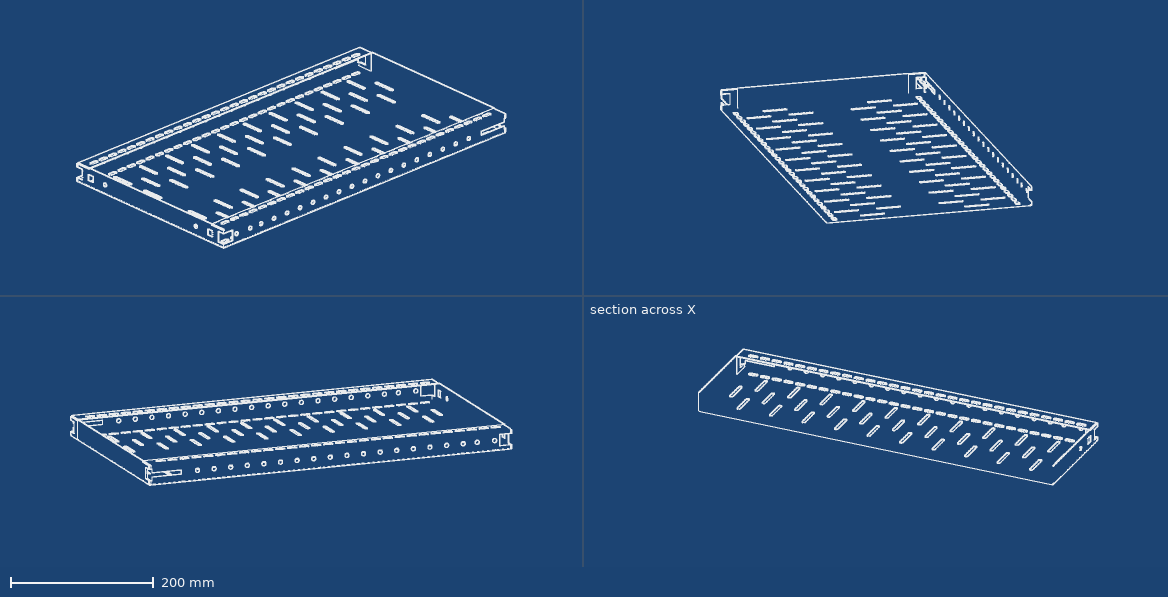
import cadquery as cq

width = 299.0
length = 546.5
height = 30.0
sheet = 1.5
bend_radius = 2.0
inner_bend_radius = bend_radius - sheet

flange_width = 25.0
flange_edge_x = width / 2 - flange_width
flange_gap = 0.3

row_count = 21
row_span = 500.5
row_pitch = row_span / (row_count - 1)
slot_length = 35.0
slot_width = 5.0
slot_x = 76.0
slot_stagger = 30.5

edge_slot_count = 29
edge_slot_pitch = 18.0
edge_slot_length = 13.5
edge_slot_width = 6.0
edge_slot_x = 133.5
edge_slot_shift = -3.0

hole_diameter = 6.0
side_hole_count = 17
extra_side_hole_ys = (-221.5, -247.5)
side_slot_length = 48.5
front_hole_x = 92.5
square_hole_x = 121.5
square_hole_size = 9.5

window_height = 16.5
front_window_x_depth = 11.0
back_window_x_depth = 14.0
front_window_y_depth = 18.0
back_window_y_depth = 4.5

mid_z = height / 2
front_y = -length / 2
back_y = length / 2
flange_bottom_z = height - sheet


def block(x_range, y_range, z_range):
    """Box between the given limits on each axis."""
    sizes = [high - low for low, high in (x_range, y_range, z_range)]
    corner = (x_range[0], y_range[0], z_range[0])
    return cq.Workplane("XY").box(*sizes, centered=False).translate(corner)


def on_both_sides(body):
    """The body together with its mirror image in the YZ plane."""
    return body.union(body.mirror("YZ"))


def make_tray():
    """Hollow folded box, opened at the top between the two flanges."""
    tray = cq.Workplane("XY").box(width, length, height, centered=(True, True, False))
    tray = tray.edges("|Y or (<Z and |X)").fillet(bend_radius)
    inside = cq.Workplane("XY").box(
        width - 2 * sheet, length - 2 * sheet, height - 2 * sheet, centered=(True, True, False)
    )
    inside = inside.translate((0, 0, sheet)).edges("|Y or (<Z and |X)").fillet(inner_bend_radius)
    opening = block(
        (-flange_edge_x, flange_edge_x), (front_y + sheet, back_y - sheet), (mid_z, height)
    )
    return tray.cut(inside).cut(opening)


def make_tab():
    """Tab lining the back wall, folded from the end of the left side wall."""
    return block(
        (-width / 2 + sheet / 2, -flange_edge_x),
        (back_y - 2 * sheet, back_y - sheet),
        (sheet / 2, flange_bottom_z - flange_gap),
    )


def make_tab_bend_cut():
    """Cut that rounds the left tab's fold and ends the back wall beside it."""
    outer_x = -width / 2
    fold_y = back_y - sheet
    return (
        cq.Workplane("XY")
        .moveTo(outer_x, back_y)
        .lineTo(outer_x, fold_y - bend_radius)
        .radiusArc((outer_x + bend_radius, fold_y), bend_radius)
        .lineTo(outer_x + bend_radius, back_y)
        .close()
        .extrude(height)
    )


def make_flange_relief():
    """Cut that lowers the end walls to just below the ends of the left flange."""
    x_range = (-width / 2, -flange_edge_x)
    z_range = (flange_bottom_z - flange_gap, height)
    front = block(x_range, (front_y, front_y + sheet), z_range)
    back = block(x_range, (back_y - sheet, back_y), z_range)
    return front.union(back)


def make_floor_slots():
    """Staggered slots: one per side in even rows, two per side in odd rows."""
    single_points = []
    double_points = []
    for row in range(row_count):
        y = row * row_pitch - row_span / 2
        for side in (-1, 1):
            if row % 2 == 0:
                single_points.append((side * slot_x, y))
            else:
                double_points.append((side * (slot_x - slot_stagger), y))
                double_points.append((side * (slot_x + slot_stagger), y))
    points = single_points + double_points
    return cq.Workplane("XY").pushPoints(points).slot2D(slot_length, slot_width).extrude(mid_z)


def make_edge_slots():
    """Row of lengthwise slots through the left flange and the floor below it."""
    return (
        cq.Workplane("XY")
        .center(-edge_slot_x, edge_slot_shift)
        .rarray(5.5, edge_slot_pitch, 1, edge_slot_count)
        .slot2D(edge_slot_length, edge_slot_width, 90)
        .extrude(height)
    )


def make_side_holes():
    """Round holes through both side walls, and the slot at their back ends."""
    ys = [(i - (side_hole_count - 1) / 2) * row_pitch for i in range(side_hole_count)]
    ys.extend(extra_side_hole_ys)
    holes = (
        cq.Workplane("YZ")
        .pushPoints([(y, mid_z) for y in ys])
        .circle(hole_diameter / 2)
        .extrude(width / 2, both=True)
    )
    slot = block(
        (-width / 2, width / 2),
        (back_y - side_slot_length, back_y - 2 * sheet),
        (mid_z - hole_diameter / 2, mid_z + hole_diameter / 2),
    )
    return holes.union(slot)


def make_front_holes():
    """Round and square holes through the front wall on both sides of the centre."""
    round_holes = (
        cq.Workplane("XZ", origin=(0, front_y, mid_z))
        .pushPoints([(-front_hole_x, 0), (front_hole_x, 0)])
        .circle(hole_diameter / 2)
        .extrude(-2 * sheet)
    )
    square_holes = (
        cq.Workplane("XZ", origin=(0, front_y, mid_z))
        .pushPoints([(-square_hole_x, 0), (square_hole_x, 0)])
        .rect(square_hole_size, square_hole_size)
        .extrude(-2 * sheet)
    )
    return round_holes.union(square_holes)


def make_corner_windows():
    """Windows that wrap around the front and back vertical corners on the left."""
    outer_x = -width / 2
    z_range = (mid_z - window_height / 2, mid_z + window_height / 2)
    front = block(
        (outer_x, outer_x + front_window_x_depth),
        (front_y, front_y + front_window_y_depth),
        z_range,
    )
    back = block(
        (outer_x, outer_x + back_window_x_depth),
        (back_y - back_window_y_depth, back_y),
        z_range,
    )
    return front.union(back)


result = (
    make_tray()
    .cut(on_both_sides(make_flange_relief()))
    .union(on_both_sides(make_tab()))
    .cut(on_both_sides(make_tab_bend_cut()))
    .cut(make_floor_slots())
    .cut(on_both_sides(make_edge_slots()))
    .cut(make_side_holes())
    .cut(make_front_holes())
    .cut(on_both_sides(make_corner_windows()))
)